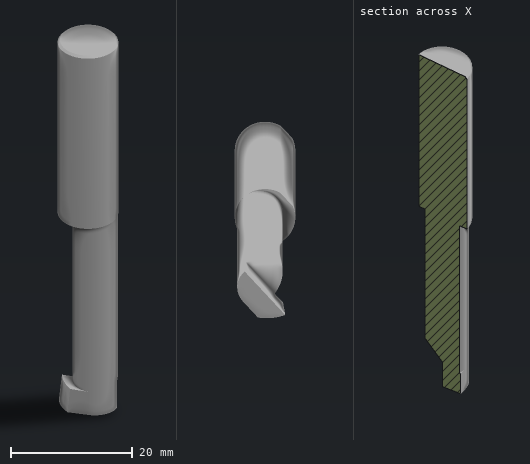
import cadquery as cq
import math

overall_length = 72.0

shank_diameter = 10.0
shank_radius = shank_diameter / 2
shank_length = 34.0
shank_bottom = overall_length - shank_length
shank_chamfer = 0.38
flat_distance = 4.75

neck_diameter = 7.5
neck_radius = neck_diameter / 2
neck_x = shank_radius - neck_radius

ramp_bottom = 5.65
ramp_height = neck_radius

head_height = 5.1
side_relief = math.radians(6)
tip_x = -shank_radius
flank_end = (-3.5, -2.7)
flank_bulge = 0.15
heel_x = -2.5

end_slope_x = math.tan(math.radians(2))
end_slope_y = math.tan(math.radians(5))


def make_shank():
    """Chamfered cylinder with one side planed flat."""
    shank = (
        cq.Workplane("XY")
        .workplane(offset=shank_bottom)
        .circle(shank_radius)
        .extrude(shank_length)
        .faces(">Z")
        .chamfer(shank_chamfer)
    )
    beyond_flat = (
        cq.Workplane("XY")
        .workplane(offset=shank_bottom)
        .center(0, flat_distance + shank_radius / 2)
        .rect(shank_diameter, shank_radius)
        .extrude(shank_length)
    )
    return shank.cut(beyond_flat)


def make_neck():
    """Cylinder cut to a half round near the tip, with a ramp above the cut."""
    neck = cq.Workplane("XY").center(neck_x, 0).circle(neck_radius).extrude(shank_bottom)
    ramp_top = ramp_bottom + ramp_height
    relief = (
        cq.Workplane("YZ")
        .polyline([(0, 0), (neck_radius, 0), (neck_radius, ramp_top), (0, ramp_bottom)])
        .close()
        .extrude(shank_diameter, both=True)
    )
    return neck.cut(relief)


def head_outline(z, shift):
    """Closed head outline at height z, its flank moved by shift along X."""
    flank_x, flank_y = flank_end
    flank_length = math.hypot(flank_x - tip_x, flank_y)
    bulge_x = (tip_x + flank_x) / 2 + flank_bulge * flank_y / flank_length
    bulge_y = flank_y / 2 - flank_bulge * (flank_x - tip_x) / flank_length
    return (
        cq.Workplane("XY")
        .workplane(offset=z)
        .moveTo(tip_x + shift, 0)
        .threePointArc((bulge_x + shift, bulge_y), (flank_x + shift, flank_y))
        .lineTo(heel_x + shift, -neck_radius)
        .lineTo(neck_x, -neck_radius)
        .lineTo(neck_x, 0)
        .close()
        .val()
    )


def make_head():
    """Ruled solid between the tip outline and the leaned top outline."""
    lean = head_height * math.tan(side_relief)
    outlines = [head_outline(0, 0), head_outline(head_height, lean)]
    return cq.Workplane(cq.Solid.makeLoft(outlines, True))


def make_end_cutter():
    """Block whose top face is the sloping end plane through the tip."""
    end_plane = cq.Plane(
        origin=(tip_x, 0, 0),
        xDir=(1, 0, end_slope_x),
        normal=(-end_slope_x, end_slope_y, 1),
    )
    block_width = 4 * shank_diameter
    return cq.Workplane(end_plane).rect(block_width, block_width).extrude(-shank_radius)


result = make_shank().union(make_neck()).union(make_head()).cut(make_end_cutter())